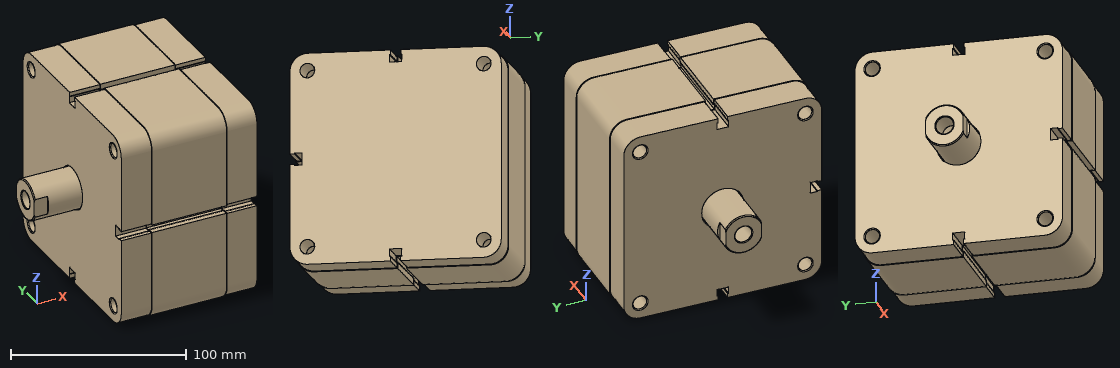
import cadquery as cq
import math

overall_length = 117.0
rod_projection = 30.0
cover_length = 19.5

barrel_side = 124.0
corner_radius = 10.9
setback = 0.5

slot_mouth_width = 5.0
slot_base_width = 6.1
slot_lip_depth = 3.8
slot_depth = 7.1
slot_angles = (0, 90, 180)

bolt_hole_diameter = 8.4
bolt_spacing = 102.5
bolt_hole_chamfer = 0.6

rod_diameter = 25.0
rod_clearance = 0.6
rod_chamfer = 0.6
across_flats = 22.2
flat_length = 8.5
rod_hole_diameter = 10.4
rod_hole_depth = 14.9
rod_hole_chamfer = 0.5
drill_tip_angle = 118.0

rod_tip_x = -rod_projection
barrel_start_x = cover_length
rear_face_x = overall_length - rod_projection
barrel_end_x = rear_face_x - cover_length


def box_between(x_start, x_end, width, z_bottom, z_top):
    """Box centred on Y = 0 between two X positions and two heights."""
    return cq.Workplane("XY").box(
        x_end - x_start, width, z_top - z_bottom, centered=(False, True, False)
    ).translate((x_start, 0, z_bottom))


def slot_cutter(x_start, x_end, inset):
    """Stepped slot for the +Z side, opened out by the inset on every wall."""
    top = barrel_side / 2
    lip_bottom = top - slot_lip_depth + inset
    floor = top - slot_depth - inset
    mouth = box_between(x_start, x_end, slot_mouth_width + 2 * inset, floor, top)
    base = box_between(x_start, x_end, slot_base_width + 2 * inset, floor, lip_bottom)
    return mouth.union(base)


def bolt_hole_positions(x):
    """The four bolt hole centres on the plane at the given X."""
    return (
        cq.Workplane("YZ", origin=(x, 0, 0))
        .rect(bolt_spacing, bolt_spacing, forConstruction=True)
        .vertices()
    )


def make_section(x_start, x_end, inset=0.0):
    """Drilled square block whose slotted outline is set back all round by the inset."""
    side = barrel_side - 2 * inset
    block = box_between(x_start, x_end, side, -side / 2, side / 2)
    block = block.edges("|X").fillet(corner_radius - inset)
    bolt_holes = (
        bolt_hole_positions(x_start)
        .circle(bolt_hole_diameter / 2)
        .extrude(x_end - x_start)
    )
    block = block.cut(bolt_holes)
    cutter = slot_cutter(x_start, x_end, inset)
    for angle in slot_angles:
        block = block.cut(cutter.rotate((0, 0, 0), (1, 0, 0), angle))
    return block


def make_front_cover():
    """Front cover with a clearance bore for the rod and chamfered bolt holes."""
    bore = (
        cq.Workplane("YZ")
        .circle(rod_diameter / 2 + rod_clearance)
        .extrude(cover_length)
    )
    countersinks = (
        bolt_hole_positions(0)
        .circle(bolt_hole_diameter / 2 + bolt_hole_chamfer)
        .extrude(bolt_hole_chamfer, taper=45)
    )
    return make_section(0, barrel_start_x, setback).cut(bore).cut(countersinks)


def make_rod():
    """Rod reaching through the front cover to the barrel, with two flats and a drilled tip."""
    rod = (
        cq.Workplane("YZ", origin=(rod_tip_x, 0, 0))
        .circle(rod_diameter / 2)
        .extrude(barrel_start_x - rod_tip_x)
        .faces("<X")
        .chamfer(rod_chamfer)
    )
    flat_end_x = rod_tip_x + flat_length
    around_flats = box_between(
        rod_tip_x, flat_end_x, 2 * rod_diameter, -rod_diameter, rod_diameter
    )
    between_flats = box_between(
        rod_tip_x, flat_end_x, across_flats, -rod_diameter, rod_diameter
    )
    rod = rod.cut(around_flats.cut(between_flats))

    hole_radius = rod_hole_diameter / 2
    tip_depth = hole_radius / math.tan(math.radians(drill_tip_angle / 2))
    hole_end_x = rod_tip_x + rod_hole_depth
    hole = (
        cq.Workplane("XY")
        .moveTo(rod_tip_x, 0)
        .lineTo(rod_tip_x, hole_radius + rod_hole_chamfer)
        .lineTo(rod_tip_x + rod_hole_chamfer, hole_radius)
        .lineTo(hole_end_x, hole_radius)
        .lineTo(hole_end_x + tip_depth, 0)
        .close()
        .revolve(360, (0, 0, 0), (1, 0, 0))
    )
    return rod.cut(hole)


front_cover = make_front_cover()
barrel = make_section(barrel_start_x, barrel_end_x)
rear_cover = make_section(barrel_end_x, rear_face_x, setback)
piston_rod = make_rod()

result = cq.Compound.makeCompound(
    [front_cover.val(), barrel.val(), rear_cover.val(), piston_rod.val()]
)